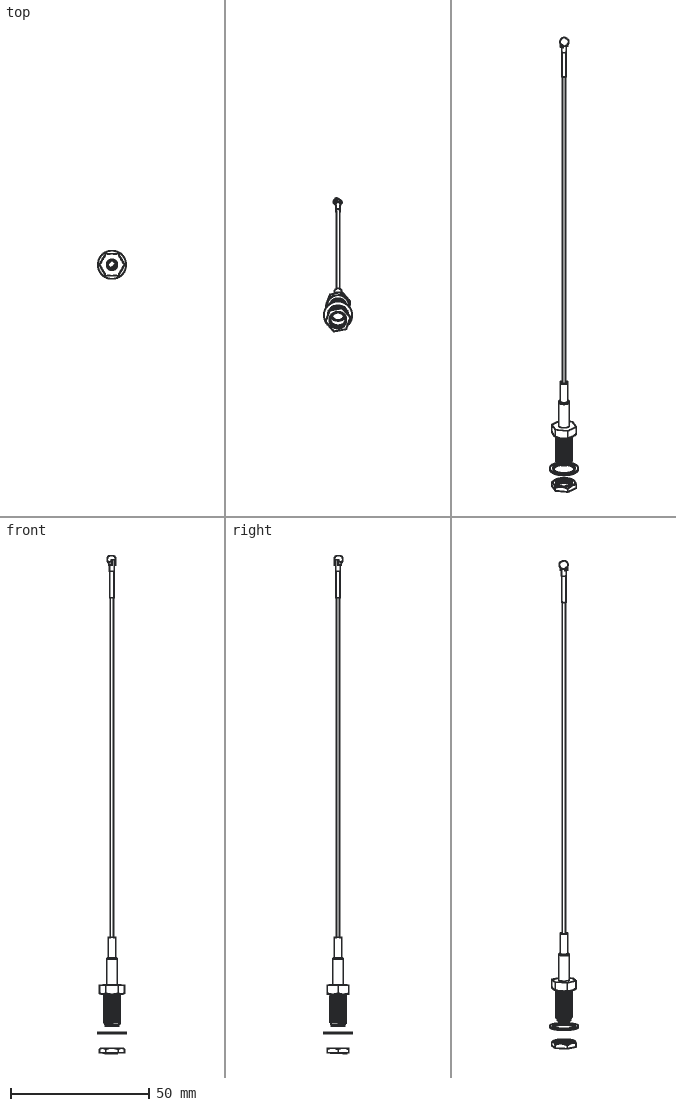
import cadquery as cq
import math

total_height = 180.1
nut_bottom = 0.4
nut_thickness = 1.8
washer_bottom = 7.4
washer_thickness = 0.5
connector_bottom = 10.0
thread_bottom = 10.8
hex_bottom = 21.6
hex_top = 24.9
shoulder_height = 0.09
shoulder_top = hex_top + shoulder_height
ferrule_top = 34.8
barrel_top = 42.2
sleeve_bottom = 164.8
neck_bottom = 174.5
plug_bottom = 176.7

across_flats = 8.0
across_corners = across_flats / math.cos(math.radians(30))
bevel_run = 0.63
hex_bevel_drop = 0.4
nut_bevel_drop = 0.5
washer_diameter = 10.3
washer_bore = 7.4
washer_chamfer = 0.4

thread_radius = 3.0
thread_depth = 0.45
thread_pitch = 0.7
ridge_base = 0.61
ridge_crest = 0.22
root_radius = thread_radius - thread_depth
root_overlap = 0.09
nut_bore_radius = thread_radius
nut_thread_turns = 2
nut_thread_start = 53.0
nose_radius = 2.5

shoulder_radius = 3.0
ferrule_radius = 2.0
ferrule_chamfer = 0.45
barrel_radius = 1.5

cable_radius = 0.63
sleeve_radius = 0.81
cable_insertion = 3.6

plug_turn = 45.0
plug_radius = 1.5
plug_rim_fillet = 0.4
plug_back = -0.7
plug_front = 1.3
clamp_front = 0.5
clamp_width = 2.3
neck_radius = 0.9
plug_center = total_height - plug_radius


def cylinder(radius, bottom, top):
    return cq.Workplane("XY").workplane(offset=bottom).circle(radius).extrude(top - bottom)


def hexagon(bottom, height):
    return cq.Workplane("XY").workplane(offset=bottom).polygon(6, across_corners).extrude(height)


def bevel_corners(body, beveled_end, plain_end, drop):
    """Bevels the hexagon corners with a cone at the height `beveled_end`."""
    corner = across_corners / 2
    inward = math.copysign(drop, plain_end - beveled_end)
    profile = [
        (0, beveled_end),
        (corner - bevel_run, beveled_end),
        (corner, beveled_end + inward),
        (corner, plain_end),
        (0, plain_end),
    ]
    envelope = cq.Workplane("XZ").polyline(profile).close().revolve(360, (0, 0, 0), (0, 1, 0))
    return body.intersect(envelope)


def helical_ridge(base_radius, crest_radius, start, turns):
    """Thread ridge wound upward from the height `start` of its middle line, beginning on +X."""
    path = cq.Wire.makeHelix(thread_pitch, thread_pitch * turns, base_radius)
    profile = [
        (base_radius, -ridge_base / 2),
        (crest_radius, -ridge_crest / 2),
        (crest_radius, ridge_crest / 2),
        (base_radius, ridge_base / 2),
    ]
    ridge = cq.Workplane("XZ").polyline(profile).close().sweep(cq.Workplane(obj=path), isFrenet=True)
    return ridge.translate((0, 0, start))


def make_nut():
    """Hexagon nut whose thread ridge starts slightly below the lower face."""
    nut_top = nut_bottom + nut_thickness
    body = bevel_corners(hexagon(nut_bottom, nut_thickness), nut_top, nut_bottom, nut_bevel_drop)
    body = body.cut(cylinder(nut_bore_radius, nut_bottom, nut_top))
    ridge = helical_ridge(nut_bore_radius + root_overlap, root_radius, ridge_base / 2, nut_thread_turns)
    return body.union(ridge.rotate((0, 0, 0), (0, 0, 1), nut_thread_start))


def make_washer():
    ring = cq.Workplane("XY").workplane(offset=washer_bottom)
    ring = ring.circle(washer_diameter / 2).circle(washer_bore / 2).extrude(washer_thickness)
    return ring.faces(">Z").edges(cq.selectors.RadiusNthSelector(0)).chamfer(washer_chamfer)


def tapered_shoulder():
    """Low transition from the hexagon to a round flat around the ferrule."""
    base = cq.Workplane("XY").workplane(offset=hex_top).polygon(6, across_corners)
    top = base.workplane(offset=shoulder_height).circle(shoulder_radius)
    return top.loft(ruled=True)


def make_connector():
    body = bevel_corners(hexagon(hex_bottom, hex_top - hex_bottom), hex_bottom, hex_top, hex_bevel_drop)
    body = body.union(cylinder(nose_radius, connector_bottom, thread_bottom))
    body = body.union(cylinder(root_radius, thread_bottom, hex_bottom))
    turns = (hex_bottom - thread_bottom - ridge_base) / thread_pitch
    ridge = helical_ridge(root_radius - root_overlap, thread_radius, thread_bottom + ridge_base / 2, turns)
    body = body.union(ridge)
    body = body.union(tapered_shoulder())
    ferrule = cylinder(ferrule_radius, shoulder_top, ferrule_top).faces(">Z").chamfer(ferrule_chamfer)
    body = body.union(ferrule).union(cylinder(barrel_radius, ferrule_top, barrel_top))
    return body.cut(cylinder(cable_radius, barrel_top - cable_insertion, barrel_top))


def make_cable():
    core = cylinder(cable_radius, barrel_top - cable_insertion, sleeve_bottom)
    return core.union(cylinder(sleeve_radius, sleeve_bottom, neck_bottom))


def make_plug():
    disc = cq.Workplane("XZ", origin=(0, plug_back, plug_center)).circle(plug_radius)
    disc = disc.extrude(plug_back - plug_front).edges().fillet(plug_rim_fillet)
    clamp_depth = clamp_front - plug_back
    clamp = cq.Workplane("XY", origin=(0, (clamp_front + plug_back) / 2, plug_bottom))
    clamp = clamp.rect(clamp_width, clamp_depth).extrude(plug_center - plug_bottom)
    neck = cylinder(neck_radius, neck_bottom, plug_center)
    return disc.union(clamp).union(neck).rotate((0, 0, 0), (0, 0, 1), plug_turn)


nut = make_nut()
washer = make_washer()
connector = make_connector()
cable = make_cable()
plug = make_plug()

bodies = [nut, washer, connector, cable, plug]
result = cq.Compound.makeCompound([body.solids().val() for body in bodies])